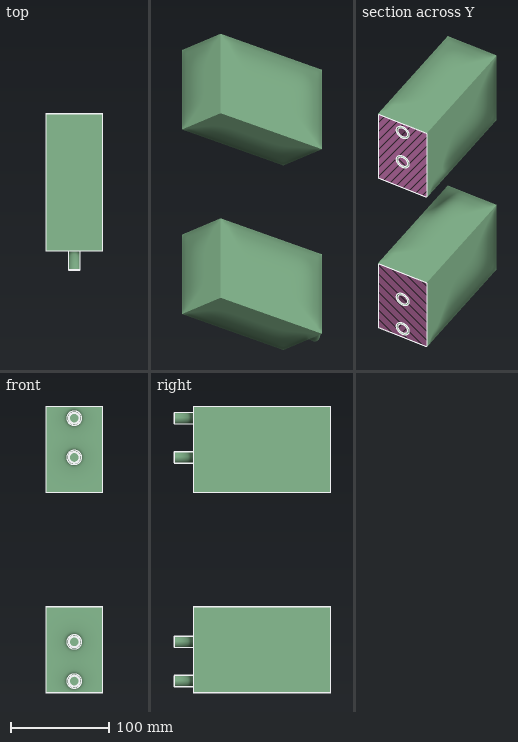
import cadquery as cq

total_height = 292.0
total_depth = 160.0

housing_width = 58.0
housing_depth = 140.2
housing_height = 88.0
housing_centre_z = (total_height - housing_height) / 2
front_face_y = -housing_depth / 2

pin_diameter = 12.0
pin_protrusion = total_depth - housing_depth
pin_engagement = pin_protrusion
pin_tip_chamfer = 1.0
pin_edge_distance = 12.0
pin_spacing = 40.0
outer_pin_z = total_height / 2 - pin_edge_distance
inner_pin_z = outer_pin_z - pin_spacing

counterbore_diameter = 15.0
counterbore_depth = 3.0

upper_and_lower = (1, -1)


def cylinder_along_y(diameter, start_y, length, z):
    """Cylinder whose axis runs toward +Y from start_y at height z."""
    profile = cq.Workplane("XZ", origin=(0, start_y, z)).circle(diameter / 2)
    return profile.extrude(-length)


def pin_heights(side):
    """Heights of the two pins of one housing."""
    return [side * outer_pin_z, side * inner_pin_z]


def make_pin_hole(z):
    """Cutting shape for one blind, counterbored pin hole."""
    bore = cylinder_along_y(pin_diameter, front_face_y, pin_engagement, z)
    counterbore = cylinder_along_y(counterbore_diameter, front_face_y, counterbore_depth, z)
    return bore.union(counterbore)


def make_housing(side):
    """Solid block with two pin holes; side is +1 for the upper one, -1 for the lower."""
    housing = cq.Workplane("XY").box(housing_width, housing_depth, housing_height)
    housing = housing.translate((0, 0, side * housing_centre_z))
    for z in pin_heights(side):
        housing = housing.cut(make_pin_hole(z))
    return housing


def make_pin(z):
    """Round pin seated on the hole floor, with a chamfered free end."""
    tip_y = front_face_y - pin_protrusion
    pin = cylinder_along_y(pin_diameter, tip_y, pin_protrusion + pin_engagement, z)
    return pin.faces("<Y").chamfer(pin_tip_chamfer)


housings = [make_housing(side) for side in upper_and_lower]
pins = [make_pin(z) for side in upper_and_lower for z in pin_heights(side)]

result = cq.Compound.makeCompound([body.solids().val() for body in housings + pins])